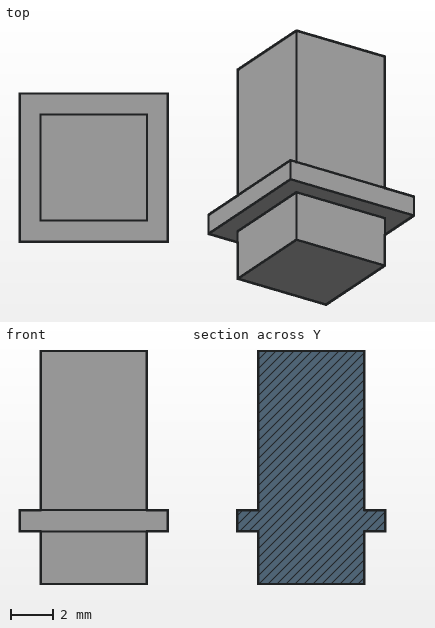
import cadquery as cq

total_height = 11.0
post_width = 5.0
flange_width = 7.0
flange_thickness = 1.0
flange_bottom = 2.5


def square_block(width, height, bottom):
    """Square block centred on the Z axis, standing on the height `bottom`."""
    return (
        cq.Workplane("XY")
        .workplane(offset=bottom)
        .rect(width, width)
        .extrude(height)
    )


post = square_block(post_width, total_height, 0)

flange = square_block(flange_width, flange_thickness, flange_bottom)

result = post.union(flange)